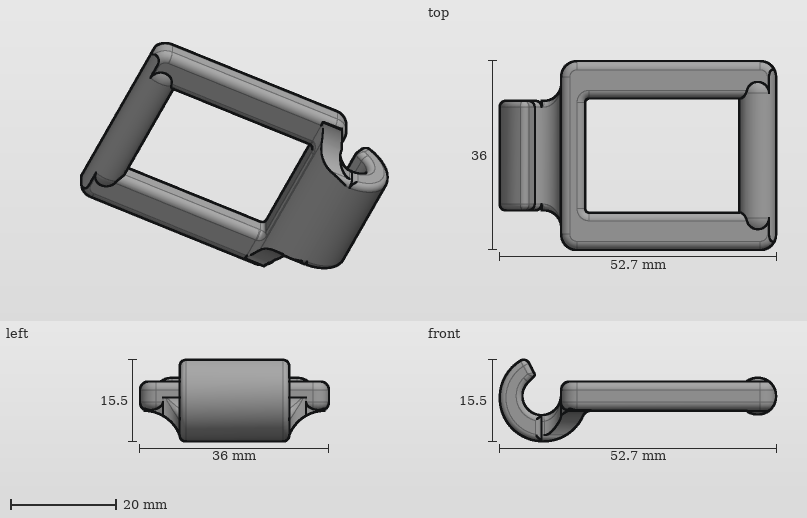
import cadquery as cq
import math

overall_length = 52.65

frame_left = 11.7
frame_width = 36.0
frame_thickness = 5.65
frame_corner_radius = 3.05
frame_edge_fillet = 1.7
window_left = 16.35
window_width = 21.7
window_corner_radius = 0.75
window_edge_fillet = 1.6
frame_bottom = -frame_thickness / 2

bar_radius = 3.55
bar_x = overall_length - bar_radius
bar_straight_length = 23.8

hook_width = 20.9
outer_radius = 8.3
outer_x, outer_z = outer_radius, -0.3
inner_radius = 3.65
inner_x, inner_z = 8.0, 0.05
hook_bottom = outer_z - outer_radius
lip_angle = math.radians(135)
lip_straight_length = 1.95
tip_outer_angle = math.radians(113)
tip_outer_fillet = 1.15
tip_inner_fillet = 0.5
hook_edge_fillet = 1.2

neck_start_x = inner_x
flare_start_x = 8.55
neck_underside_fillet = 1.6
neck_plan_radius = frame_left - flare_start_x
neck_flare_width = 34.25


def on_circle(x, z, radius, angle):
    """Point of a circle given by its centre, radius and angle."""
    return (x + radius * math.cos(angle), z + radius * math.sin(angle))


def on_outer(angle):
    return on_circle(outer_x, outer_z, outer_radius, angle)


def on_inner(angle):
    return on_circle(inner_x, inner_z, inner_radius, angle)


outer_start_angle = -math.acos((neck_start_x - outer_x) / outer_radius)
inner_start_angle = math.radians(-90)


def extrude_along_y(outline, width):
    return outline.close().extrude(width / 2, both=True)


def make_frame():
    length = overall_length - frame_left
    frame = (
        cq.Workplane("XY")
        .box(length, frame_width, frame_thickness)
        .translate((frame_left + length / 2, 0, 0))
        .edges("|Z").fillet(frame_corner_radius)
        .faces("<Z or >Z").edges().fillet(frame_edge_fillet)
    )

    envelope = extrude_along_y(
        cq.Workplane("XZ")
        .moveTo(frame_left, -bar_radius)
        .lineTo(bar_x, -bar_radius)
        .threePointArc((overall_length, 0), (bar_x, bar_radius))
        .lineTo(frame_left, bar_radius),
        frame_width,
    )
    return frame.intersect(envelope)


def cut_window(body):
    """Open the window and round its upper and lower rims."""
    window_length = bar_x - window_left
    window = (
        cq.Workplane("XY")
        .box(window_length, window_width, 3 * frame_thickness)
        .translate((window_left + window_length / 2, 0, 0))
        .edges("|Z").fillet(window_corner_radius)
    )
    window_zone = cq.selectors.BoxSelector(
        (window_left - 0.55, -window_width / 2 - 0.55, -frame_thickness),
        (bar_x + 0.55, window_width / 2 + 0.55, frame_thickness),
        boundingbox=True,
    )
    return body.cut(window).edges(window_zone).edges("not |Z").fillet(window_edge_fillet)


def make_crossbar():
    """Cylinder along Y with hemispherical ends."""
    half_length = bar_straight_length / 2
    bar = cq.Workplane("XZ").center(bar_x, 0).circle(bar_radius).extrude(half_length, both=True)
    for side in (-1, 1):
        bar = bar.union(cq.Workplane("XY").sphere(bar_radius).translate((bar_x, side * half_length, 0)))
    return bar


def make_hook():
    """C-shaped hook, rounded on its side edges; it ends at the start of the neck."""
    lip_start = on_inner(lip_angle)
    lip_end = (
        lip_start[0] + lip_straight_length * math.sin(lip_angle),
        lip_start[1] - lip_straight_length * math.cos(lip_angle),
    )
    tip_outer = on_outer(tip_outer_angle)
    hook = extrude_along_y(
        cq.Workplane("XZ")
        .moveTo(*tip_outer)
        .threePointArc(on_outer(math.radians(220)), on_outer(outer_start_angle))
        .lineTo(*on_inner(inner_start_angle))
        .threePointArc(on_inner(math.radians(230)), lip_start)
        .lineTo(*lip_end),
        hook_width,
    )
    for corner, radius in ((tip_outer, tip_outer_fillet), (lip_end, tip_inner_fillet)):
        tip_edge = cq.selectors.NearestToPointSelector((corner[0], 0, corner[1]))
        hook = hook.edges(tip_edge).fillet(radius)
    hook_zone = cq.selectors.BoxSelector((-0.55, -15.8, -15.8), (10.55, 15.8, 15.8))
    return hook.faces("<Y or >Y").edges("not #Z").edges(hook_zone).fillet(hook_edge_fillet)


def make_neck():
    """Flared neck: the common volume of its side, plan and end outlines."""
    runout_z = frame_bottom - neck_underside_fillet
    reach = outer_radius + neck_underside_fillet
    runout_x = outer_x + math.sqrt(reach**2 - (runout_z - outer_z) ** 2)
    runout_angle = math.atan2(runout_z - outer_z, runout_x - outer_x)
    inner_end_angle = math.radians(-5)
    inner_middle = on_inner((inner_start_angle + inner_end_angle) / 2)
    side_solid = extrude_along_y(
        cq.Workplane("XZ")
        .moveTo(*on_outer(outer_start_angle))
        .threePointArc(on_outer((outer_start_angle + runout_angle) / 2), on_outer(runout_angle))
        .tangentArcPoint((runout_x, frame_bottom), relative=False)
        .lineTo(runout_x, inner_z)
        .lineTo(*on_inner(inner_end_angle))
        .threePointArc(inner_middle, on_inner(inner_start_angle)),
        frame_width,
    )

    half_hook = hook_width / 2
    half_flare = neck_flare_width / 2
    plan_arc_y = half_hook + neck_plan_radius
    plan_arc_middle = on_circle(flare_start_x, plan_arc_y, neck_plan_radius, math.radians(-45))
    plan_solid = (
        cq.Workplane("XY")
        .moveTo(neck_start_x, 0)
        .lineTo(neck_start_x, half_hook)
        .lineTo(flare_start_x, half_hook)
        .threePointArc(plan_arc_middle, (frame_left, plan_arc_y))
        .lineTo(frame_left + frame_edge_fillet, half_flare)
        .lineTo(runout_x, half_flare)
        .lineTo(runout_x, 0)
        .close()
        .extrude(outer_radius * 2, both=True)
    )
    plan_solid = plan_solid.union(plan_solid.mirror("XZ"))

    corner_y = half_hook - hook_edge_fillet
    corner_z = hook_bottom + hook_edge_fillet
    corner_middle = on_circle(corner_y, corner_z, hook_edge_fillet, math.radians(-45))
    sweep_width = half_flare - half_hook
    sweep_height = frame_bottom - corner_z
    sweep_radius = (sweep_width**2 + sweep_height**2) / (2 * sweep_height)
    sweep_angle = math.asin(sweep_width / sweep_radius)
    sweep_middle = on_circle(
        half_flare, frame_bottom - sweep_radius, sweep_radius, (math.pi + sweep_angle) / 2
    )
    end_solid = (
        cq.Workplane("YZ")
        .moveTo(0, inner_z)
        .lineTo(half_flare, inner_z)
        .lineTo(half_flare, frame_bottom)
        .threePointArc(sweep_middle, (half_hook, corner_z))
        .threePointArc(corner_middle, (corner_y, hook_bottom))
        .lineTo(0, hook_bottom)
        .close()
        .extrude(overall_length)
    )
    end_solid = end_solid.union(end_solid.mirror("XZ"))

    neck = side_solid.intersect(plan_solid).intersect(end_solid)
    for side in (-1, 1):
        upper_edge = cq.selectors.NearestToPointSelector(
            (inner_middle[0], side * plan_arc_middle[1], inner_middle[1])
        )
        neck = neck.edges(upper_edge).fillet(hook_edge_fillet)
    return neck


frame = cut_window(make_frame().union(make_neck()))
result = frame.union(make_crossbar()).union(make_hook())